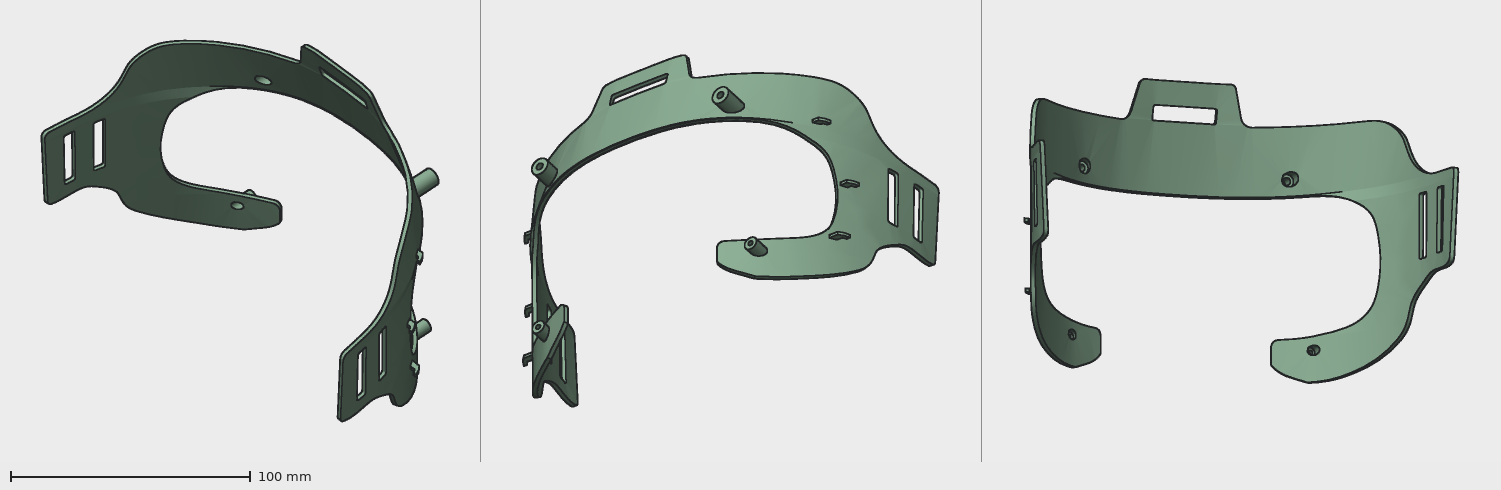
import cadquery as cq
import math

axis_y = 6.5
wall = 2.0
front_lean = 16.5
section_angles = (0, 12, 22, 34, 46, 60, 78, 94, 100)

crown_z = 50.0
fold_z = 0.0
blend_z = -4.9
cheek_z = -61.0
bottom_z = -80.38
cheek_radius = 89.3

crown_radii = (77.2, 78.7, 79.2, 80.8, 84.1, 87.2, 88.7, 90.9, 92.3)
fold_radii = (92.2, 92.8, 93.2, 92.4, 91.0, 90.2, 89.7, 92.3, 94.7)
blend_radii = (91.0, 91.3, 91.5, 90.9, 89.9, 89.5, 89.5, 92.0, 94.1)
cheek_radii = (cheek_radius,) * len(section_angles)

wall_levels = (
    (crown_z, crown_radii),
    (fold_z, fold_radii),
    (blend_z, blend_radii),
    (cheek_z, cheek_radii),
    (bottom_z, cheek_radii),
)

top_z = 45.5
brow_z = 28.2
tab_top_half = 20.6
tab_root_half = 25.1
tab_corner = 2.5
tab_root_fillet = 5.0

opening_top_z = -0.4
opening_top_angle = 33.0
opening_curve = (
    (opening_top_angle, opening_top_z), (44.5, -1.9), (51.7, -6.4), (56.3, -13.0), (57.9, -21.9),
    (58.5, -30.7), (58.1, -41.8), (57.0, -48.6), (53.1, -55.4), (43.0, -59.9), (33.3, -61.5),
    (27.6, -61.7),
)
arm_tip_curve = ((27.6, -61.7), (25.9, -62.6), (25.3, -64.6))
arm_bottom_curve = ((25.3, -72.2), (26.3, -74.0), (31.2, -78.2), (35.5, bottom_z))

upper_sweep = (
    (52.0, brow_z), (56.6, 28.0), (61.1, 26.7), (64.2, 24.1), (67.2, 19.3), (69.0, 13.0),
    (71.6, 6.1), (74.5, 2.4), (77.4, 0.5), (80.8, -0.4), (92.3, -0.9),
)
tail_angle = 94.05
tail_upper_corner = ((92.3, -0.9), (93.5, -1.6), (tail_angle, -3.4))
tail_lower_corner = ((tail_angle, -38.9), (93.5, -40.9), (92.3, -41.6))
lower_sweep = (
    (92.3, -41.6), (86.0, -42.1), (80.3, -42.4), (77.2, -44.8), (73.5, -48.6), (71.0, -52.9),
    (69.0, -61.7), (67.1, -66.2), (63.0, -70.6), (56.6, -75.0), (51.7, -77.2), (43.8, -79.7),
    (38.0, bottom_z),
)

slot_corner = 1.0
side_slot_width = 5.5
side_slot_height = 28.0
side_slot_z = -21.2
side_slot_angles = (76.5, 86.1)
tab_slot_length = 28.0
tab_slot_height = 6.6
tab_slot_z = 32.8

posts = (
    (45.1, 6.9, 95.2, 8.0, 3.2, 6.0, 88.0),
    (53.0, -66.9, 84.3, 6.0, 2.2, 4.2, 81.0),
)

hook_height = 1.5
hook_root = 4.3
hook_shape = (
    (hook_root, 0), (0, 0), (-1.9, -2.2), (-3.1, -4.7), (-1.4, -4.7), (-0.3, -3.0),
    (hook_root, -3.0),
)
hook_corners = ((-73.2, 63.4, 3.0), (-80.1, 52.3, -25.5), (-78.3, 56.5, -54.5))

slot_depth = 12.0
post_start_y = 60.0
clearance = 15.0
reach = 150.0
behind_tails_y = -2.0
cutter_near = 40.0
cutter_far = 110.0
far_angle = 150.0


def polar(radius, angle):
    """Plan position at a radius and an angle from the front, measured about the wall's axis."""
    a = math.radians(angle)
    return (radius * math.sin(a), axis_y + radius * math.cos(a))


def section(z, radii, inset):
    """Closed section of the volume inside the wall's outer face, moved inward by inset."""
    half = [polar(r - inset, a) for r, a in zip(radii, section_angles)]
    points = [(-x, y) for x, y in reversed(half[1:])] + half
    curve = cq.Workplane("XY").workplane(offset=z).spline(points).close()
    return curve.val()


def loft_volume(inset):
    """Volume within the wall's outer face, or within its inner face when inset by the wall."""
    wires = [section(z, radii, inset) for z, radii in wall_levels]
    return cq.Workplane(obj=cq.Solid.makeLoft(wires, True))


def trace(plane, start, runs):
    """Closed wire from start: a run of one point is a line, a longer run is a smooth curve."""
    path = cq.Workplane(plane).moveTo(*start)
    for run in runs:
        if len(run) == 1:
            path = path.lineTo(*run[0])
        else:
            path = path.spline(run[1:], includeCurrent=True)
    return path.close().val()


def on_front_plane(points, distance):
    """Wall points carried outward from the axis to the plane Y = axis_y + distance."""
    return [(distance * math.tan(math.radians(a)), z) for a, z in points]


def on_side_plane(points, distance):
    """Wall points carried outward from the axis to the plane X = distance."""
    return [(axis_y + distance / math.tan(math.radians(a)), z) for a, z in points]


def brow_cutter():
    """Everything above the forehead's upper edge and outside the tab."""
    above = crown_z + clearance
    half = [(tab_top_half, top_z), (tab_root_half, brow_z), (reach, brow_z), (reach, above)]
    outline = [(-x, z) for x, z in reversed(half)] + half
    body = cq.Workplane("XZ").polyline(outline).close().extrude(-reach)
    corners = ((tab_root_half, brow_z, tab_root_fillet), (tab_top_half, top_z, tab_corner))
    for x, z, radius in corners:
        for side in (-x, x):
            body = body.edges(cq.NearestToPointSelector((side, reach / 2, z))).fillet(radius)
    return body


def opening_cutter():
    """Face opening with the gap between the arms; its sides point at the wall's axis."""
    below = bottom_z - clearance
    gap_corner = (arm_bottom_curve[-1][0], below)
    right_side = [opening_curve, arm_tip_curve, arm_bottom_curve[:1], arm_bottom_curve, (gap_corner,)]
    wires = []
    for distance in (cutter_near, cutter_far):
        right = [on_front_plane(run, distance) for run in right_side]
        left = [[(-x, z) for x, z in reversed(run)] for run in reversed(right)]
        left_tip = [(-x, z) for x, z in on_front_plane(arm_tip_curve[-1:], distance)]
        left_runs = [left[0], left[1][:1], left[1], left_tip, left[3], left[4]]
        plane = cq.Plane(origin=(0, axis_y + distance, 0), xDir=(1, 0, 0), normal=(0, -1, 0))
        wires.append(trace(plane, right[0][0], right + left_runs))
    return cq.Workplane(obj=cq.Solid.makeLoft(wires, True))


def rear_cutter():
    """Everything behind the rear edge on the +X side; its sides point at the wall's axis."""
    front_angle = upper_sweep[0][0]
    bottom_angle = lower_sweep[-1][0]
    runs_on_wall = [
        upper_sweep,
        tail_upper_corner,
        tail_lower_corner[:1],
        tail_lower_corner,
        lower_sweep,
        ((bottom_angle, bottom_z - clearance),),
        ((far_angle, bottom_z - clearance),),
        ((far_angle, crown_z + clearance),),
        ((front_angle, crown_z + clearance),),
    ]
    wires = []
    for distance in (cutter_near, cutter_far):
        runs = [on_side_plane(run, distance) for run in runs_on_wall]
        plane = cq.Plane(origin=(distance, 0, 0), xDir=(0, 1, 0), normal=(1, 0, 0))
        wires.append(trace(plane, runs[0][0], runs))
    return cq.Workplane(obj=cq.Solid.makeLoft(wires, True))


def rear_block():
    """Clears the flat closing sides of the wall sections behind the tails."""
    block = cq.Workplane("XY").box(2 * reach, reach, 2 * reach)
    return block.translate((0, behind_tails_y - reach / 2, 0))


def side_slots():
    """Strap slots through the +X tail, square to the wall."""
    block = cq.Workplane("XY").box(side_slot_width, slot_depth, side_slot_height)
    block = block.edges("|Y").fillet(slot_corner)
    cutters = cq.Workplane()
    for angle in side_slot_angles:
        x, y = polar(cheek_radius, angle)
        cutters.add(block.rotate((0, 0, 0), (0, 0, 1), -angle).translate((x, y, side_slot_z)))
    return cutters.combine()


def tab_slot():
    """Strap slot through the tab, square to its lean."""
    share = (tab_slot_z - fold_z) / (crown_z - fold_z)
    y = axis_y + fold_radii[0] + share * (crown_radii[0] - fold_radii[0])
    block = cq.Workplane("XY").box(tab_slot_length, slot_depth, tab_slot_height)
    block = block.edges("|Y").fillet(slot_corner)
    return block.rotate((0, 0, 0), (1, 0, 0), front_lean).translate((0, y, tab_slot_z))


def along_y(x, z, diameter, start_y, end_y):
    """Cylinder parallel to Y."""
    return cq.Workplane("XZ", origin=(x, start_y, z)).circle(diameter / 2).extrude(start_y - end_y)


def hooks():
    """Cable hooks on the -X side, rooted in the wall."""
    group = cq.Workplane()
    for x, y, z in hook_corners:
        plan = [(x + dx, y + dy) for dx, dy in hook_shape]
        base = cq.Workplane("XY", origin=(0, 0, z - hook_height / 2))
        group.add(base.polyline(plan).close().extrude(hook_height))
    return group.combine()


def make_part():
    """Outer volume with posts and hooks, hollowed to the wall, then trimmed and pierced."""
    body = loft_volume(0)
    for x, z, end_y, diameter, _, _, _ in posts:
        for side in (-x, x):
            body = body.union(along_y(side, z, diameter, post_start_y, end_y))
    hook_group = hooks()
    body = body.union(hook_group).union(hook_group.mirror("YZ"))
    body = body.cut(loft_volume(wall)).cut(rear_block())
    body = body.cut(brow_cutter()).cut(opening_cutter()).cut(tab_slot())
    for cutter in (rear_cutter(), side_slots()):
        body = body.cut(cutter).cut(cutter.mirror("YZ"))
    for x, z, end_y, _, hole, bore, floor_y in posts:
        for side in (-x, x):
            body = body.cut(along_y(side, z, hole, post_start_y, end_y))
            body = body.cut(along_y(side, z, bore, post_start_y, floor_y))
    return body


result = make_part()